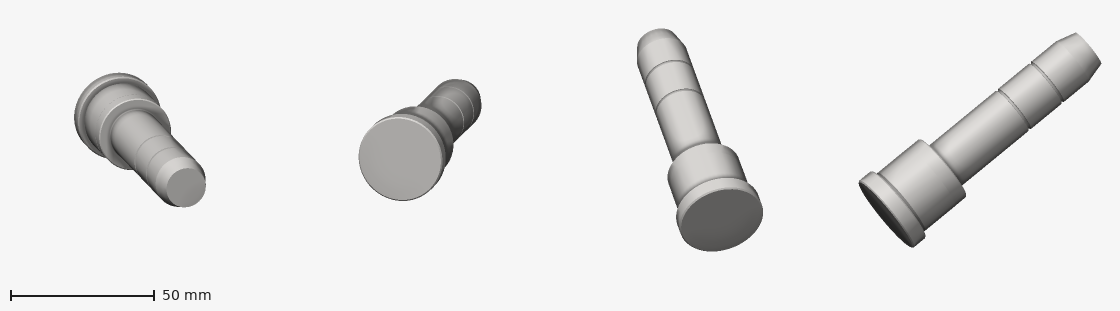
import cadquery as cq
import math

total_length = 92.0

head_diameter = 30.0
head_end = 5.9
head_chamfer = 0.5

relief_center = 6.3
relief_depth = 0.5
relief_width = 1.7

body_diameter = 26.0
lead_in_start = 20.9
lead_in_reduction = 0.1
body_end = 26.0
body_edge_chamfer = 0.4

shank_diameter = 18.0
shank_root_fillet = 0.5
tip_taper_length = 7.2
tip_taper_angle = 15.0

groove_centers = (58.0, 73.0)
groove_width = 1.1
groove_depth = 0.55

head_radius = head_diameter / 2
body_radius = body_diameter / 2
lead_in_radius = body_radius - lead_in_reduction / 2
shank_radius = shank_diameter / 2
tip_start = total_length - tip_taper_length
tip_radius = shank_radius - tip_taper_length * math.tan(math.radians(tip_taper_angle))


def cylinder_along_x(start, end, radius):
    """Solid cylinder centred on the X axis."""
    return cq.Workplane("YZ").workplane(offset=start).circle(radius).extrude(end - start)


def make_head():
    return cylinder_along_x(0, head_end, head_radius).edges().chamfer(head_chamfer)


def make_body():
    """Press-fit land, starting inside the head, and chamfered lead-in."""
    land = cylinder_along_x(0, lead_in_start, body_radius)
    lead_in = cylinder_along_x(lead_in_start, body_end, lead_in_radius)
    lead_in = lead_in.faces(">X").edges().chamfer(body_edge_chamfer)
    return land.union(lead_in)


def make_shank():
    """Revolved shank with a concave root fillet and a conical tip."""
    root_end = body_end + shank_root_fillet
    fillet_middle = shank_root_fillet * (1 - math.sqrt(0.5))
    profile = (
        cq.Workplane("XY")
        .lineTo(0, shank_radius)
        .lineTo(body_end, shank_radius)
        .lineTo(body_end, shank_radius + shank_root_fillet)
        .threePointArc((body_end + fillet_middle, shank_radius + fillet_middle), (root_end, shank_radius))
        .lineTo(tip_start, shank_radius)
        .lineTo(total_length, tip_radius)
        .lineTo(total_length, 0)
        .close()
    )
    return profile.revolve(360, (0, 0, 0), (1, 0, 0))


def make_groove(center, surface_radius, width, depth):
    """Ring cutter that sinks a circular arc of the given width and depth into a round surface."""
    section = (
        cq.Workplane("XY")
        .moveTo(center - width / 2, surface_radius)
        .threePointArc((center, surface_radius - depth), (center + width / 2, surface_radius))
        .close()
    )
    return section.revolve(360, (0, 0, 0), (1, 0, 0))


relieved_body = make_body().cut(make_groove(relief_center, body_radius, relief_width, relief_depth))
result = make_head().union(relieved_body).union(make_shank())
for groove_center in groove_centers:
    result = result.cut(make_groove(groove_center, shank_radius, groove_width, groove_depth))